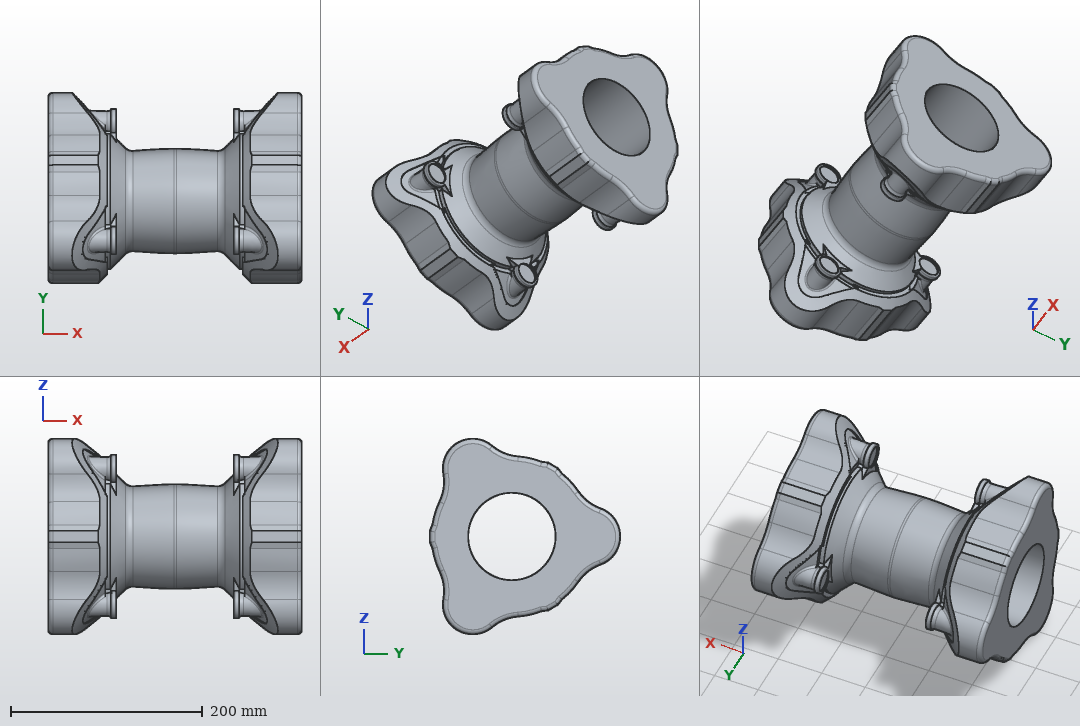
import cadquery as cq
import math

total_length = 265.0
bore_diameter = 91.0
half_length = total_length / 2

lobe_count = 3
lobe_pitch = 360.0 / lobe_count
lobe_offset = 81.8
lobe_radius = 31.3
valley_radius = 84.0
blend_radius = 47.0
pad_distance = 85.76
pad_half_width = 6.0
pad_foot_half_width = 12.4
face_fillet = 5.0

cone_angle = 45.0
flange_depth = 61.8
flange_cone_sum = 138.1
tube_cone_start = 65.0
tube_cone_start_radius = 71.1
neck_radius = 52.5
neck_fillet = 11.0
belly_radius = 54.8
belly_bulge = 0.4
belly_band_half_width = 1.3

stem_root = 30.0
stem_root_radius = 13.3
stem_neck = 61.3
stem_neck_radius = 12.2
stem_collar_radius = 13.2
stem_fillet = 2.5
collar_radius = 14.5
collar_start = 65.7
collar_end = 71.2
collar_fillet = 0.8
dish_radius = 11.5
dish_depth = 1.5
pocket_radius = 20.0
pocket_flare_angle = 36.0
pocket_flare_end = 64.0
pocket_depth = 2.0
web_start = 59.8
web_half_width = 20.5
web_root_distance = 61.5
web_bottom_distance = 57.0


def polar(radius, angle):
    """Point at a radius and an angle in degrees around the bore axis."""
    return (radius * math.cos(math.radians(angle)), radius * math.sin(math.radians(angle)))


def turned(point, angle):
    """Point turned about the bore axis by an angle in degrees."""
    c = math.cos(math.radians(angle))
    s = math.sin(math.radians(angle))
    return (point[0] * c - point[1] * s, point[0] * s + point[1] * c)


def point_towards(start, target, distance):
    """Point at a distance from start on the way to target."""
    length = math.dist(start, target)
    return tuple(a + (b - a) * distance / length for a, b in zip(start, target))


def flange_outline():
    """Closed outline of three lobes, the valleys between them and the valley pads."""
    blend_distance = valley_radius + blend_radius
    blend_reach = lobe_radius + blend_radius
    cosine = (blend_distance**2 + lobe_offset**2 - blend_reach**2) / (2 * blend_distance * lobe_offset)
    blend_angle = math.degrees(math.acos(cosine))

    half_pitch = lobe_pitch / 2
    lobe_centre = (lobe_offset, 0)
    lobe_tip = (lobe_offset + lobe_radius, 0)
    blend_centre = polar(blend_distance, blend_angle)
    lobe_end = point_towards(lobe_centre, blend_centre, lobe_radius)
    valley_start = polar(valley_radius, blend_angle)
    blend_chord_middle = tuple((a + b) / 2 for a, b in zip(lobe_end, valley_start))
    blend_middle = point_towards(blend_centre, blend_chord_middle, blend_radius)
    foot_angle = half_pitch - math.degrees(math.asin(pad_foot_half_width / valley_radius))
    valley_middle = polar(valley_radius, (blend_angle + foot_angle) / 2)
    pad_foot = polar(valley_radius, foot_angle)
    pad_edge = turned((pad_distance, -pad_half_width), half_pitch)

    def mirrored(point):
        return (point[0], -point[1])

    outline = cq.Workplane("YZ").moveTo(*mirrored(pad_edge))
    for i in range(lobe_count):
        angle = i * lobe_pitch

        def at(point):
            return turned(point, angle)

        if i > 0:
            outline = outline.lineTo(*at(mirrored(pad_edge)))
        outline = (
            outline.lineTo(*at(mirrored(pad_foot)))
            .threePointArc(at(mirrored(valley_middle)), at(mirrored(valley_start)))
            .threePointArc(at(mirrored(blend_middle)), at(mirrored(lobe_end)))
            .threePointArc(at(lobe_tip), at(lobe_end))
            .threePointArc(at(blend_middle), at(valley_start))
            .threePointArc(at(valley_middle), at(pad_foot))
            .lineTo(*at(pad_edge))
        )
    return outline.close()


def flange_cone(shift):
    """Solid bounded by the conical flange back, moved along the axis by shift."""
    tip_radius = flange_cone_sum - flange_depth
    return (
        cq.Workplane("XY")
        .moveTo(shift, 0)
        .lineTo(shift, flange_cone_sum)
        .lineTo(shift + flange_depth, tip_radius)
        .lineTo(shift + flange_depth, 0)
        .close()
        .revolve(360, (0, 0, 0), (1, 0, 0))
    )


def flange():
    """Lobed flange with a rounded outer face and a conical back."""
    block = flange_outline().extrude(flange_depth).faces("<X").edges().fillet(face_fillet)
    return block.intersect(flange_cone(0))


def tube_half():
    """Tube from inside the flange to the middle of the part."""
    cone_end = tube_cone_start + tube_cone_start_radius - neck_radius
    half_turn = math.radians(cone_angle / 2)
    fillet_tangent = neck_fillet * math.tan(half_turn)
    fillet_reach = fillet_tangent * math.cos(math.radians(cone_angle))
    neck_end = cone_end + fillet_tangent
    fillet_middle = (
        neck_end - neck_fillet * math.sin(half_turn),
        neck_radius + neck_fillet * (1 - math.cos(half_turn)),
    )
    belly_end = half_length - belly_band_half_width
    belly_middle = ((neck_end + belly_end) / 2, (neck_radius + belly_radius) / 2 + belly_bulge)
    return (
        cq.Workplane("XY")
        .moveTo(face_fillet, 0)
        .lineTo(face_fillet, tube_cone_start_radius)
        .lineTo(tube_cone_start, tube_cone_start_radius)
        .lineTo(cone_end - fillet_reach, neck_radius + fillet_reach)
        .threePointArc(fillet_middle, (neck_end, neck_radius))
        .threePointArc(belly_middle, (belly_end, belly_radius))
        .lineTo(half_length, belly_radius)
        .lineTo(half_length, 0)
        .close()
        .revolve(360, (0, 0, 0), (1, 0, 0))
    )


def boss_cylinder(radius, start, end):
    """Cylinder on the axis of the boss in the +Y lobe."""
    return cq.Workplane("YZ", origin=(start, lobe_offset, 0)).circle(radius).extrude(end - start)


def boss_stem():
    """Drafted stem that narrows away from the flange and flares into the collar."""
    flare_middle = (
        (stem_neck + collar_start) / 2,
        stem_neck_radius + (stem_collar_radius - stem_neck_radius) / 4,
    )
    return (
        cq.Workplane("XY", origin=(0, lobe_offset, 0))
        .moveTo(stem_root, 0)
        .lineTo(stem_root, stem_root_radius)
        .lineTo(stem_neck, stem_neck_radius)
        .threePointArc(flare_middle, (collar_start, stem_collar_radius))
        .lineTo(collar_end - dish_depth, stem_collar_radius)
        .lineTo(collar_end - dish_depth, 0)
        .close()
        .revolve(360, (0, 0, 0), (1, 0, 0))
    )


def boss_pocket():
    """Shallow recess that follows the flange back around the boss and widens towards the bore."""
    slope = math.radians(pocket_flare_angle)
    flare_start = lobe_offset + pocket_radius * math.sin(slope)
    flare_start_half_width = pocket_radius * math.cos(slope)
    flare_end_half_width = flare_start_half_width + (flare_start - pocket_flare_end) * math.tan(slope)
    flare = (
        cq.Workplane("YZ", origin=(stem_root, 0, 0))
        .polyline([
            (flare_start, flare_start_half_width),
            (pocket_flare_end, flare_end_half_width),
            (pocket_flare_end, -flare_end_half_width),
            (flare_start, -flare_start_half_width),
        ])
        .close()
        .extrude(flange_depth - stem_root)
    )
    recess = boss_cylinder(pocket_radius, stem_root, flange_depth).union(flare)
    return recess.cut(flange_cone(-pocket_depth))


def boss_web(radius, start, end):
    """Web that flares at 45 degrees from a boss cylinder down to the tube cone."""
    shoulder = radius / math.sqrt(2)
    return (
        cq.Workplane("YZ", origin=(start, 0, 0))
        .polyline([
            (lobe_offset, 0),
            (lobe_offset - shoulder, shoulder),
            (web_root_distance, web_half_width),
            (web_bottom_distance, 0),
            (web_root_distance, -web_half_width),
            (lobe_offset - shoulder, -shoulder),
        ])
        .close()
        .extrude(end - start)
    )


def boss_head():
    """Dished collar, carried on the tube cone by a web."""
    collar = boss_cylinder(collar_radius, collar_start, collar_end).edges().fillet(collar_fillet)
    dish = boss_cylinder(dish_radius, collar_end - dish_depth, collar_end)
    return (
        collar.union(boss_web(stem_neck_radius, web_start, collar_start))
        .union(boss_web(collar_radius, collar_start, collar_end))
        .cut(dish)
    )


def flange_with_stems():
    """Flange with a pocket and a filleted stem in each lobe."""
    body = flange()
    pocket = boss_pocket()
    stem = boss_stem()
    around_stem = cq.selectors.BoxSelector(
        (stem_root, lobe_offset - pocket_radius, -stem_root_radius),
        (flange_depth, lobe_offset + stem_root_radius, stem_root_radius),
    )
    foot_edges = cq.selectors.AndSelector(around_stem, cq.selectors.TypeSelector("BSPLINE"))
    for _ in range(lobe_count):
        body = body.cut(pocket).union(stem).edges(foot_edges).fillet(stem_fillet)
        body = body.rotate((0, 0, 0), (1, 0, 0), lobe_pitch)
    return body


def end_half():
    """Half of the part, with its flange face at X = 0."""
    half = flange_with_stems().union(tube_half())
    head = boss_head()
    for i in range(lobe_count):
        half = half.union(head.rotate((0, 0, 0), (1, 0, 0), i * lobe_pitch))
    bore = cq.Workplane("YZ").circle(bore_diameter / 2).extrude(half_length)
    return half.cut(bore)


left_half = end_half()
right_half = left_half.mirror("YZ", (half_length, 0, 0))
result = left_half.union(right_half).translate((-half_length, 0, 0))